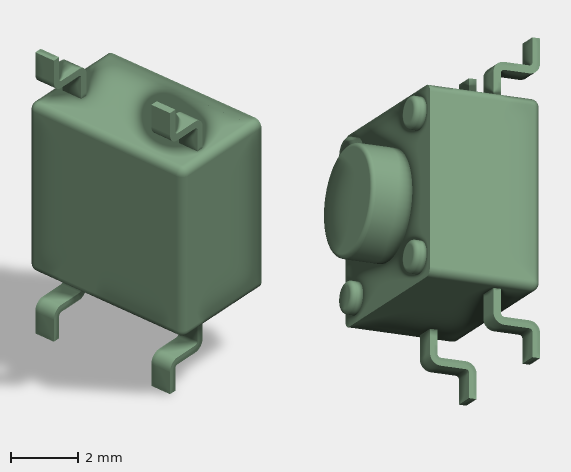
import cadquery as cq


case_side = 6.0
case_depth = 3.66
cover_thickness = 0.37
edge_radius = 0.25
housing_depth = case_depth - cover_thickness

button_diameter = 3.5
button_height = 1.33
button_edge_radius = 0.13

rivet_diameter = 1.02
rivet_height = 0.37
rivet_edge_radius = 0.15
rivet_offset = 2.25

lead_span = 10.0
lead_width = 0.72
lead_thickness = 0.25
lead_offset = 2.25
lead_depth = 1.53
foot_projection = 0.14
step_height = 4.11
bend_inner_radius = 0.1
bend_outer_radius = bend_inner_radius + lead_thickness


def case_slab(back_y, depth):
    """Square slab with rounded side edges, running from back_y toward -Y."""
    return (
        cq.Workplane("XZ", origin=(0, back_y, 0))
        .rect(case_side, case_side)
        .extrude(depth)
        .edges("|Y")
        .fillet(edge_radius)
    )


def make_housing():
    """Housing block with a rounded front rim."""
    return case_slab(-cover_thickness, housing_depth).faces("<Y").edges().fillet(edge_radius)


def round_head(diameter, height, rim_radius, x=0.0, z=0.0):
    """Cylinder standing on the cover along +Y, with its outer rim rounded."""
    return (
        cq.Workplane("XZ", origin=(x, 0, z))
        .circle(diameter / 2)
        .extrude(-height)
        .faces(">Y")
        .edges()
        .fillet(rim_radius)
    )


def make_cover():
    """Cover plate carrying the button and the four rivet heads."""
    cover = case_slab(0.0, cover_thickness)
    cover = cover.union(round_head(button_diameter, button_height, button_edge_radius))
    for x in (-rivet_offset, rivet_offset):
        for z in (-rivet_offset, rivet_offset):
            cover = cover.union(round_head(rivet_diameter, rivet_height, rivet_edge_radius, x, z))
    return cover


def make_upper_lead(x):
    """Z-shaped strip that rises from the housing top, steps forward and ends in an upright foot."""
    root_z = case_side / 2
    tip_z = lead_span / 2
    step_bottom = step_height - lead_thickness
    foot_front = -case_depth - foot_projection
    foot_back = foot_front + lead_thickness
    root_back = foot_front + lead_depth
    root_front = root_back - lead_thickness

    strip = (
        cq.Workplane("YZ", origin=(x - lead_width / 2, 0, 0))
        .moveTo(root_back, root_z)
        .lineTo(root_back, step_height)
        .lineTo(foot_back, step_height)
        .lineTo(foot_back, tip_z)
        .lineTo(foot_front, tip_z)
        .lineTo(foot_front, step_bottom)
        .lineTo(root_front, step_bottom)
        .lineTo(root_front, root_z)
        .close()
        .extrude(lead_width)
    )
    bends = (
        (root_back, step_height, bend_outer_radius),
        (root_front, step_bottom, bend_inner_radius),
        (foot_back, step_height, bend_inner_radius),
        (foot_front, step_bottom, bend_outer_radius),
    )
    for y, z, radius in bends:
        strip = strip.edges(cq.NearestToPointSelector((x, y, z))).fillet(radius)
    return strip


housing = make_housing()
cover = make_cover()
leads = []
for lead_x in (-lead_offset, lead_offset):
    upper_lead = make_upper_lead(lead_x)
    leads.append(upper_lead.val())
    leads.append(upper_lead.mirror("XY").val())

result = cq.Compound.makeCompound([housing.val(), cover.val(), *leads])